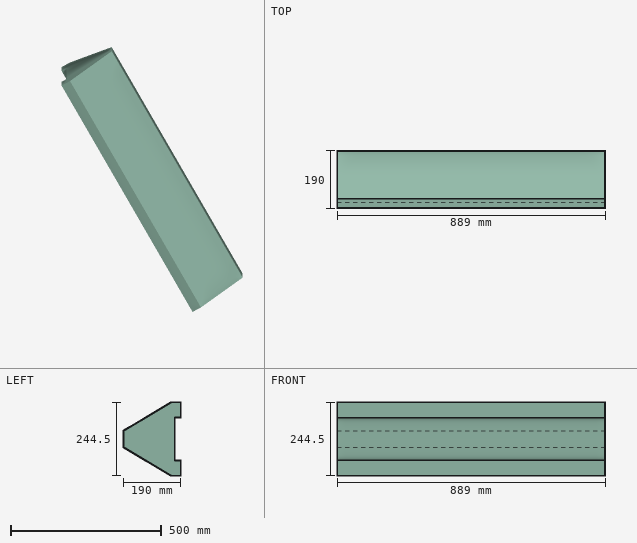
import cadquery as cq

length = 889.0
depth = 190.0
height = 244.5

rail_depth = 32.0
nose_height = 55.0
channel_width = 142.0
channel_depth = 20.0

front_y = -depth / 2
back_y = depth / 2
half_profile = [
    (front_y + channel_depth, channel_width / 2),
    (front_y, channel_width / 2),
    (front_y, height / 2),
    (front_y + rail_depth, height / 2),
    (back_y, nose_height / 2),
]
mirrored_half = [(y, -z) for y, z in reversed(half_profile)]

result = (
    cq.Workplane("YZ")
    .polyline(half_profile + mirrored_half)
    .close()
    .extrude(length / 2, both=True)
)